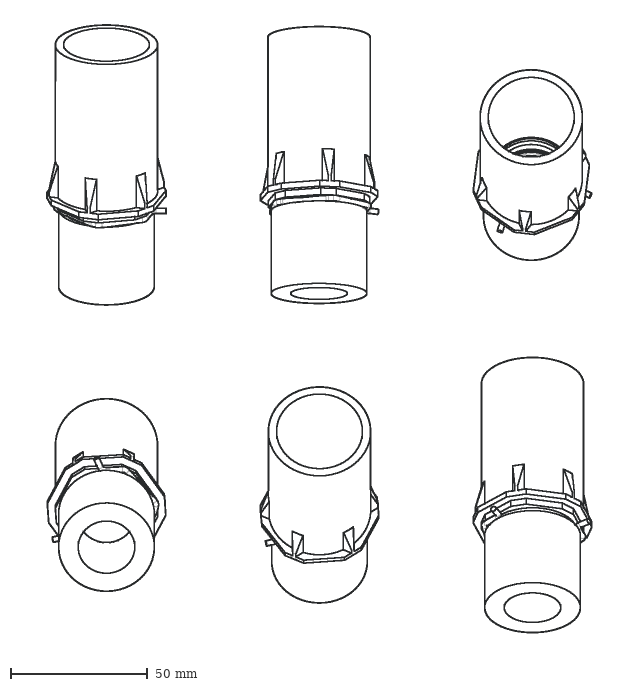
import cadquery as cq
import math

TOTAL_HEIGHT = 96.0
SPIGOT_TOP = 30.9
GROOVE_HEIGHT = 2.1
BAND_HEIGHT = 2.5
FLANGE_HEIGHT = 2.2
BAND_BOTTOM = SPIGOT_TOP + GROOVE_HEIGHT
FLANGE_BOTTOM = BAND_BOTTOM + BAND_HEIGHT
FLANGE_TOP = FLANGE_BOTTOM + FLANGE_HEIGHT

SOCKET_RADIUS = 37.5 / 2
SPIGOT_RADIUS = 35.1 / 2
GROOVE_RADIUS = 16.1
FLANGE_FLAT = 41.0 / 2
FLANGE_CORNER = 43.0 / 2
BAND_FLAT = SPIGOT_RADIUS
BAND_CORNER = 18.6

RIB_COUNT = 6
RIB_HEIGHT = 12.5
RIB_TOP = FLANGE_TOP + RIB_HEIGHT
RIB_LAND = 2.1
RIB_TIP_HALF_WIDTH = 0.6
RIB_SIDE_ANGLE = 30.0
RIB_INNER_RADIUS = 17.3

SOCKET_BORE = 15.7
STOP_BORE = 15.3
SEAT_BORE = 13.8
FLOOR_BORE = 13.3
THROAT_TOP_RADIUS = 11.3
THROAT_RADIUS = 10.4
THROAT_TAPER_HEIGHT = 1.6
STOP_LEDGE = FLANGE_TOP
SEAT_LEDGE = FLANGE_BOTTOM
FLOOR_LEDGE = SPIGOT_TOP
FLOOR_DEPTH = 1.0
BORE_FLOOR = FLOOR_LEDGE - FLOOR_DEPTH
RIM_OUTER_RADIUS = 13.1
RIM_HEIGHT = 0.9
RIM_TOP = BORE_FLOOR + RIM_HEIGHT

WIRE_RADIUS = 2.0 / 2
BEND_RADIUS = 2.1
CLIP_Z = SPIGOT_TOP + GROOVE_HEIGHT / 2
CLIP_HALF_CORNERS = [
    (8.7, -15.5),
    (11.7, -14.5),
    (18.8, 1.6),
    (14.6, 9.0),
    (18.0, 13.1),
]


def hexagon(apothem, height, first_flat_angle):
    """Hexagonal prism on Z = 0 with one flat facing first_flat_angle (degrees)."""
    half_side_angle = 30
    corner_distance = apothem / math.cos(math.radians(half_side_angle))
    prism = cq.Workplane("XY").polygon(6, 2 * corner_distance).extrude(height)
    return prism.rotate((0, 0, 0), (0, 0, 1), first_flat_angle - half_side_angle)


def cut_hexagon(flat, corner, height, bottom):
    """Hexagonal plate with flats on +-Y whose six corners are cut square."""
    main = hexagon(flat, height, 90)
    corner_cuts = hexagon(corner, height, 0)
    return main.intersect(corner_cuts).translate((0, 0, bottom))


def cylinder(radius, bottom, top):
    return cq.Workplane("XY").workplane(offset=bottom).circle(radius).extrude(top - bottom)


def rib(angle):
    """Wedge between socket and flange, narrow at the flange edge, sloping at the top."""
    root_half_width = RIB_TIP_HALF_WIDTH + (FLANGE_CORNER - RIB_INNER_RADIUS) * math.tan(
        math.radians(RIB_SIDE_ANGLE)
    )
    plan = (
        cq.Workplane("XY")
        .workplane(offset=FLANGE_TOP)
        .polyline([
            (RIB_INNER_RADIUS, -root_half_width),
            (FLANGE_CORNER, -RIB_TIP_HALF_WIDTH),
            (FLANGE_CORNER, RIB_TIP_HALF_WIDTH),
            (RIB_INNER_RADIUS, root_half_width),
        ])
        .close()
        .extrude(RIB_HEIGHT)
    )
    side = (
        cq.Workplane("XZ")
        .polyline([
            (RIB_INNER_RADIUS, FLANGE_TOP),
            (FLANGE_CORNER, FLANGE_TOP),
            (FLANGE_CORNER, FLANGE_TOP + RIB_LAND),
            (SOCKET_RADIUS, RIB_TOP),
            (RIB_INNER_RADIUS, RIB_TOP),
        ])
        .close()
        .extrude(root_half_width, both=True)
    )
    return plan.intersect(side).rotate((0, 0, 0), (0, 0, 1), angle)


def bore():
    """Stepped through-bore that leaves the throat rim standing on its floor."""
    return (
        cq.Workplane("XZ")
        .moveTo(0, 0)
        .lineTo(THROAT_RADIUS, 0)
        .lineTo(THROAT_RADIUS, RIM_TOP - THROAT_TAPER_HEIGHT)
        .lineTo(THROAT_TOP_RADIUS, RIM_TOP)
        .lineTo(RIM_OUTER_RADIUS - RIM_HEIGHT, RIM_TOP)
        .radiusArc((RIM_OUTER_RADIUS, BORE_FLOOR), RIM_HEIGHT)
        .lineTo(FLOOR_BORE, BORE_FLOOR)
        .lineTo(FLOOR_BORE, FLOOR_LEDGE)
        .lineTo(SEAT_BORE, FLOOR_LEDGE)
        .lineTo(SEAT_BORE, SEAT_LEDGE)
        .lineTo(STOP_BORE, SEAT_LEDGE)
        .lineTo(STOP_BORE, STOP_LEDGE)
        .lineTo(SOCKET_BORE, STOP_LEDGE)
        .lineTo(SOCKET_BORE, TOTAL_HEIGHT)
        .lineTo(0, TOTAL_HEIGHT)
        .close()
        .revolve(360, (0, 0, 0), (0, 1, 0))
    )


def clip_centreline():
    """Open path through the clip corners, each corner rounded to BEND_RADIUS."""
    left_half = [(-x, y) for x, y in reversed(CLIP_HALF_CORNERS)]
    corners = [cq.Vector(x, y, CLIP_Z) for x, y in left_half + CLIP_HALF_CORNERS]
    path = cq.Workplane("XY").workplane(offset=CLIP_Z).moveTo(corners[0].x, corners[0].y)
    for before, corner, after in zip(corners, corners[1:], corners[2:]):
        back = (before - corner).normalized()
        ahead = (after - corner).normalized()
        half_angle = back.getAngle(ahead) / 2
        bisector = (back + ahead).normalized()
        setback = BEND_RADIUS / math.tan(half_angle)
        apex_distance = BEND_RADIUS / math.sin(half_angle) - BEND_RADIUS
        start = corner + back * setback
        apex = corner + bisector * apex_distance
        end = corner + ahead * setback
        path = path.lineTo(start.x, start.y)
        path = path.threePointArc((apex.x, apex.y), (end.x, end.y))
    return path.lineTo(corners[-1].x, corners[-1].y)


def make_clip():
    """Round wire swept along the bent centreline."""
    end_x, end_y = CLIP_HALF_CORNERS[-1]
    bend_x, bend_y = CLIP_HALF_CORNERS[-2]
    wire_start = cq.Plane(
        origin=(-end_x, end_y, CLIP_Z),
        xDir=(0, 0, 1),
        normal=(end_x - bend_x, bend_y - end_y, 0),
    )
    return cq.Workplane(wire_start).circle(WIRE_RADIUS).sweep(clip_centreline())


def make_connector(clip):
    """Tube connector with flange, ribs, stepped bore and a groove recessed for the clip."""
    connector = (
        cylinder(SPIGOT_RADIUS, 0, SPIGOT_TOP)
        .union(cylinder(GROOVE_RADIUS, SPIGOT_TOP, BAND_BOTTOM))
        .union(cut_hexagon(BAND_FLAT, BAND_CORNER, BAND_HEIGHT, BAND_BOTTOM))
        .union(cut_hexagon(FLANGE_FLAT, FLANGE_CORNER, FLANGE_HEIGHT, FLANGE_BOTTOM))
        .union(cylinder(SOCKET_RADIUS, FLANGE_TOP, TOTAL_HEIGHT))
    )
    for index in range(RIB_COUNT):
        connector = connector.union(rib(index * 360 / RIB_COUNT))
    return connector.cut(bore()).cut(clip).solids()


clip = make_clip()
connector = make_connector(clip)

result = cq.Compound.makeCompound([connector.val(), clip.val()])